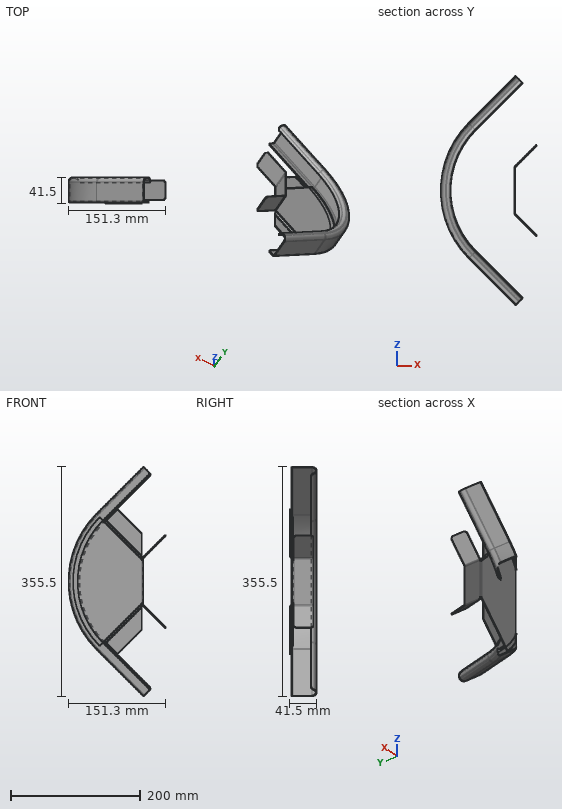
import cadquery as cq
import math

SHEET = 1.5
BEND_ANGLE = 45.0
RADIAL = math.cos(math.radians(BEND_ANGLE))

RIM_LENGTH = 355.5
RIM_RADIUS = 148.3
ARM_LENGTH = RIM_LENGTH * RADIAL - RIM_RADIUS
RIM_FRONT_Y = 2.0
RIM_BACK_Y = 41.5
LIP_WIDTH = 14.2
LIP_BEND = 2.5
BACK_BEND = 7.5
HOOK_START = 9.0
HOOK_BEND = 6.8
HOOK_TURN = math.radians(64.0)
HOOK_LEG = 5.0
RIM_CORNER = 3.0

PLATE_FRONT_Y = RIM_FRONT_Y + SHEET
PLATE_LAP = 7.0
PLATE_EDGE_X = -34.5
FLANGE_BEND = 2.5
FLANGE_BACK_Y = 36.5
FLANGE_HALF_LENGTH = 33.5
FLAP_ROOT_Z = 36.3
FLAP_TIP_X = 3.0
FLAP_BEND = 1.8
FLAP_CORNER = 3.5
STEP_START = -0.5
WING_END = 28.5
WING_GAP = 3.5


def rim_profile(plane):
    """Channel section and the middle of its hook tip: x runs inward from the web, y along Y."""
    inner_lip = LIP_BEND - SHEET
    inner_back = BACK_BEND - SHEET
    inner_hook = HOOK_BEND - SHEET
    front = RIM_FRONT_Y
    back = RIM_BACK_Y
    half = math.sqrt(0.5)

    def on_hook(radius, turn):
        return (HOOK_START + radius * math.sin(turn), back - HOOK_BEND + radius * math.cos(turn))

    def leg_tip(radius):
        x, y = on_hook(radius, HOOK_TURN)
        return (x + HOOK_LEG * math.cos(HOOK_TURN), y - HOOK_LEG * math.sin(HOOK_TURN))

    def on_bend(centre_y, radius, bend, side):
        return (bend - radius * half, centre_y + side * radius * half)

    lip_centre = front + LIP_BEND
    back_centre = back - BACK_BEND
    section = (
        cq.Workplane(plane)
        .moveTo(LIP_WIDTH, front)
        .lineTo(LIP_BEND, front)
        .threePointArc(on_bend(lip_centre, LIP_BEND, LIP_BEND, -1), (0, lip_centre))
        .lineTo(0, back_centre)
        .threePointArc(on_bend(back_centre, BACK_BEND, BACK_BEND, 1), (BACK_BEND, back))
        .lineTo(HOOK_START, back)
        .threePointArc(on_hook(HOOK_BEND, HOOK_TURN / 2), on_hook(HOOK_BEND, HOOK_TURN))
        .lineTo(*leg_tip(HOOK_BEND))
        .lineTo(*leg_tip(inner_hook))
        .lineTo(*on_hook(inner_hook, HOOK_TURN))
        .threePointArc(on_hook(inner_hook, HOOK_TURN / 2), (HOOK_START, back - SHEET))
        .lineTo(BACK_BEND, back - SHEET)
        .threePointArc(on_bend(back_centre, inner_back, BACK_BEND, 1), (SHEET, back_centre))
        .lineTo(SHEET, lip_centre)
        .threePointArc(on_bend(lip_centre, inner_lip, LIP_BEND, -1), (LIP_BEND, front + SHEET))
        .lineTo(LIP_WIDTH, front + SHEET)
        .close()
    )
    return section, leg_tip((HOOK_BEND + inner_hook) / 2)


def mirrored(upper):
    return upper.mirror("XY")


def make_rim():
    inward = (RADIAL, 0, -RADIAL)
    along = (RADIAL, 0, RADIAL)
    start = cq.Vector(-RIM_RADIUS * RADIAL, 0, RIM_RADIUS * RADIAL)
    plane = cq.Plane(origin=start.toTuple(), xDir=inward, normal=along)
    section, hook_tip = rim_profile(plane)
    arm = section.extrude(ARM_LENGTH)
    end = start + cq.Vector(*along) * ARM_LENGTH
    free_corners = [(LIP_WIDTH, RIM_FRONT_Y + SHEET / 2), hook_tip]
    for inset, y in free_corners:
        corner = end + cq.Vector(*inward) * inset + cq.Vector(0, y, 0)
        arm = arm.edges(cq.selectors.NearestToPointSelector(corner.toTuple())).chamfer(RIM_CORNER)
    arc_section, _ = rim_profile(plane)
    arc = arc_section.revolve(2 * BEND_ANGLE, (RIM_RADIUS, 0), (RIM_RADIUS, -1))
    return arc.union(arm).union(mirrored(arm))


def make_plate():
    radius = RIM_RADIUS - LIP_WIDTH + PLATE_LAP
    end = radius * RADIAL
    edge = abs(PLATE_EDGE_X)
    return (
        cq.Workplane("XZ", origin=(0, PLATE_FRONT_Y, 0))
        .moveTo(-edge, edge)
        .lineTo(-end, end)
        .threePointArc((-radius, 0), (-end, -end))
        .lineTo(-edge, -edge)
        .close()
        .extrude(-SHEET)
    )


def make_flange_bend():
    half = math.sqrt(0.5)
    inner = FLANGE_BEND - SHEET
    centre_y = PLATE_FRONT_Y + FLANGE_BEND
    x = PLATE_EDGE_X
    return (
        cq.Workplane("XY", origin=(0, 0, -FLANGE_HALF_LENGTH))
        .moveTo(x, PLATE_FRONT_Y)
        .threePointArc((x + FLANGE_BEND * half, centre_y - FLANGE_BEND * half), (x + FLANGE_BEND, centre_y))
        .lineTo(x + inner, centre_y)
        .threePointArc((x + inner * half, centre_y - inner * half), (x, PLATE_FRONT_Y + SHEET))
        .close()
        .extrude(2 * FLANGE_HALF_LENGTH)
    )


def make_flange_and_flaps():
    outer_x = PLATE_EDGE_X + FLANGE_BEND
    inner_x = outer_x - SHEET
    front_y = PLATE_FRONT_Y + FLANGE_BEND
    miter = SHEET * math.tan(math.radians(BEND_ANGLE / 2))
    tip_z = FLAP_ROOT_Z + FLAP_TIP_X - outer_x
    tip_shift = SHEET * RADIAL
    upper = [
        (outer_x, FLAP_ROOT_Z),
        (FLAP_TIP_X, tip_z),
        (FLAP_TIP_X - tip_shift, tip_z + tip_shift),
        (inner_x, FLAP_ROOT_Z + miter),
    ]
    lower = [(x, -z) for x, z in reversed(upper)]
    strip = (
        cq.Workplane("XZ", origin=(0, front_y, 0))
        .polyline(upper + lower)
        .close()
        .extrude(front_y - FLANGE_BACK_Y)
    )
    mid_y = (front_y + FLANGE_BACK_Y) / 2
    near = cq.selectors.NearestToPointSelector
    for side in (1, -1):
        strip = strip.edges(near((outer_x, mid_y, side * FLAP_ROOT_Z))).fillet(FLAP_BEND)
        root = (inner_x, mid_y, side * (FLAP_ROOT_Z + miter))
        strip = strip.edges(near(root)).fillet(FLAP_BEND + SHEET)
        for y in (front_y, FLANGE_BACK_Y):
            tip = (FLAP_TIP_X - tip_shift / 2, y, side * (tip_z + tip_shift / 2))
            strip = strip.edges(near(tip)).chamfer(FLAP_CORNER)
    return strip


def make_wing():
    """Upper wing with its 45 degree step; local x runs along the arm, local y along the part's Y."""
    miter = SHEET * math.tan(math.radians(BEND_ANGLE / 2))
    root = STEP_START - SHEET
    front = [
        (root, PLATE_FRONT_Y),
        (STEP_START, PLATE_FRONT_Y),
        (STEP_START + PLATE_FRONT_Y, 0),
        (WING_END, 0),
    ]
    back = [
        (WING_END, SHEET),
        (STEP_START + PLATE_FRONT_Y + miter, SHEET),
        (STEP_START + miter, PLATE_FRONT_Y + SHEET),
        (root, PLATE_FRONT_Y + SHEET),
    ]
    outward = (-RADIAL, 0, RADIAL)
    along = (RADIAL, 0, RADIAL)
    length = RIM_RADIUS - LIP_WIDTH - WING_GAP
    section = cq.Plane(origin=(0, 0, 0), xDir=along, normal=outward)
    blank = cq.Workplane(section).polyline(front + back).close().extrude(length)
    beyond_edge = cq.Workplane("XY").box(RIM_RADIUS, RIM_RADIUS, 2 * RIM_RADIUS, centered=(False, True, True))
    return blank.cut(beyond_edge.translate((PLATE_EDGE_X, 0, 0)))


def make_tray():
    wing = make_wing()
    tray = make_plate().union(make_flange_bend()).union(make_flange_and_flaps())
    return tray.union(wing).union(mirrored(wing))


rim = make_rim()
tray = make_tray()
result = cq.Compound.makeCompound([rim.val(), tray.val()])